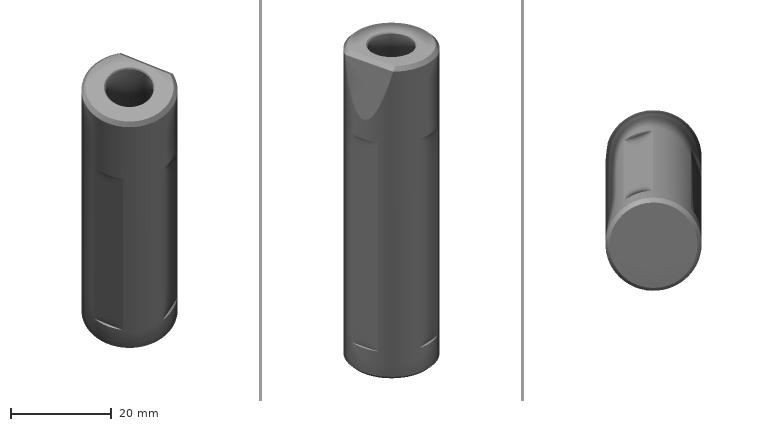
import cadquery as cq
import math

length = 71.12
diameter = 19.05
radius = diameter / 2
edge_chamfer = 0.8

flat_count = 4
flat_width = 6.25
flat_bottom = 6.35
flat_length = 47.625
flat_distance = math.sqrt(radius**2 - (flat_width / 2) ** 2)

taper_height = 12.7
taper_depth = 2.1

bore_diameter = 9.6
bore_radius = bore_diameter / 2
bore_depth = 50.8
bore_chamfer = 0.25
floor_angle = 45
floor_rise = bore_radius * math.tan(math.radians(floor_angle))


def extrude_across(points):
    """Close a (Y, Z) outline and extrude it along X over the full body width."""
    return cq.Workplane("YZ").polyline(points).close().extrude(radius, both=True)


def make_taper_cutter():
    """Wedge that narrows from the top face down to the +Y outer surface."""
    return extrude_across(
        [
            (radius, length - taper_height),
            (radius, length),
            (radius - taper_depth, length),
        ]
    )


def make_body():
    """Cylinder with the tapered relief and chamfered end edges."""
    cylinder = cq.Workplane("XY").circle(radius).extrude(length)
    tapered = cylinder.cut(make_taper_cutter())
    return tapered.faces("<Z or >Z").edges().chamfer(edge_chamfer)


def make_flat_cutter(angle):
    """Block outside the flat plane, turned about the Z axis."""
    return (
        cq.Workplane("XY", origin=(flat_distance, 0, flat_bottom))
        .rect(diameter, diameter)
        .extrude(flat_length)
        .translate((radius, 0, 0))
        .rotate((0, 0, 0), (0, 0, 1), angle)
    )


def make_bore_cutter():
    """Cylinder ending in the slanted floor, with a flared mouth at the top face."""
    floor_z = length - bore_depth
    cylinder = cq.Workplane("XY").circle(bore_radius).extrude(length)
    above_floor = extrude_across(
        [
            (-bore_radius, floor_z - floor_rise),
            (bore_radius, floor_z + floor_rise),
            (bore_radius, length),
            (-bore_radius, length),
        ]
    )
    mouth = cq.Solid.makeCone(
        bore_radius,
        bore_radius + bore_chamfer,
        bore_chamfer,
        pnt=cq.Vector(0, 0, length - bore_chamfer),
    )
    return cylinder.intersect(above_floor).union(cq.Workplane(mouth))


result = make_body()
for index in range(flat_count):
    result = result.cut(make_flat_cutter(index * 360 / flat_count))
result = result.cut(make_bore_cutter())